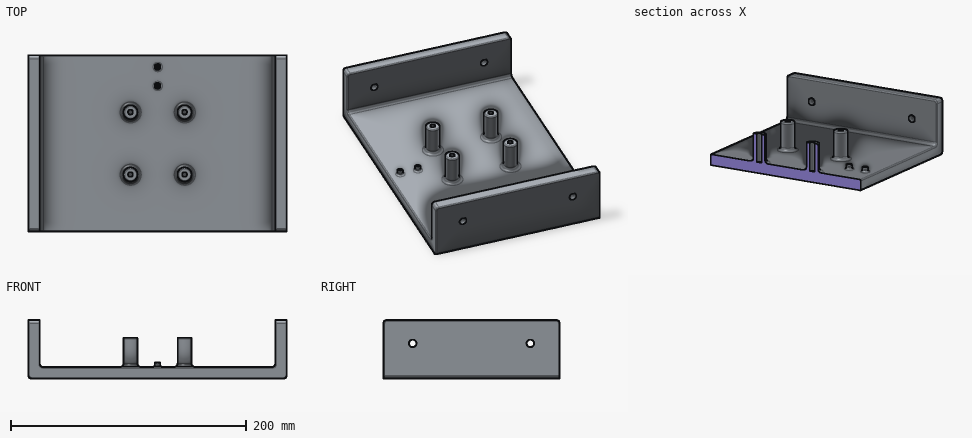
import cadquery as cq
import math

length = 220.0
width = 150.0
height = 50.0
thickness = 10.0
inner_corner_radius = 3.0
outer_corner_radius = 3.0
edge_radius = 1.0

post_diameter = 12.0
post_height = 25.0
post_bore_diameter = 4.2
post_base_fillet = 3.0
post_spacing_x = 46.0
post_spacing_y = 53.0

stud_diameter = 5.0
stud_height = 4.0
stud_bore_diameter = 2.0
stud_base_fillet = 1.5
stud_edge_gap = 10.0
stud_spacing = 16.0

wall_hole_diameter = 6.2
wall_hole_height = 30.0
wall_hole_spacing = 100.0


def make_tray():
    """U-shaped tray with rounded corners and softened edges."""
    block = (
        cq.Workplane("XY")
        .box(length, width, height, centered=(True, True, False))
        .edges("(|X and >Z) or (|Y and <Z)")
        .fillet(outer_corner_radius)
    )
    channel = (
        cq.Workplane("XY")
        .workplane(offset=thickness)
        .box(length - 2 * thickness, width, height, centered=(True, True, False))
        .edges("|Y and <Z")
        .fillet(inner_corner_radius)
    )
    tray = block.cut(channel)
    return tray.edges("<Y or >Y or (|Y and >Z)").fillet(edge_radius)


def make_post(diameter, post_top, base_fillet, bore_diameter):
    """Bored round post with a flared base and a rounded top rim, standing at the origin."""
    radius = diameter / 2
    bore_radius = bore_diameter / 2
    arc_inset = 1 - math.sqrt(0.5)
    base_inset = base_fillet * arc_inset
    rim_inset = edge_radius * arc_inset
    profile = (
        cq.Workplane("XZ")
        .moveTo(bore_radius, 0)
        .lineTo(radius + base_fillet, 0)
        .threePointArc((radius + base_inset, base_inset), (radius, base_fillet))
        .lineTo(radius, post_top - edge_radius)
        .threePointArc((radius - rim_inset, post_top - rim_inset), (radius - edge_radius, post_top))
        .lineTo(bore_radius, post_top)
        .close()
    )
    return profile.revolve(360, (0, 0, 0), (0, 1, 0))


def add_posts(body):
    """Stand the four mounting posts on the floor."""
    post = make_post(post_diameter, post_height, post_base_fillet, post_bore_diameter)
    for x in (-post_spacing_x / 2, post_spacing_x / 2):
        for y in (-post_spacing_y / 2, post_spacing_y / 2):
            body = body.union(post.translate((x, y, thickness)))
    return body


def add_studs(body):
    """Stand the two small studs on the floor."""
    stud = make_post(stud_diameter, stud_height, stud_base_fillet, stud_bore_diameter)
    outer_y = width / 2 - stud_edge_gap
    for y in (outer_y, outer_y - stud_spacing):
        body = body.union(stud.translate((0, y, thickness)))
    return body


def cut_wall_holes(body):
    """Drill the aligned pairs of holes through both walls."""
    holes = (
        cq.Workplane("YZ")
        .pushPoints([(side * wall_hole_spacing / 2, wall_hole_height) for side in (-1, 1)])
        .circle(wall_hole_diameter / 2)
        .extrude(length / 2, both=True)
    )
    return body.cut(holes)


result = cut_wall_holes(add_studs(add_posts(make_tray())))